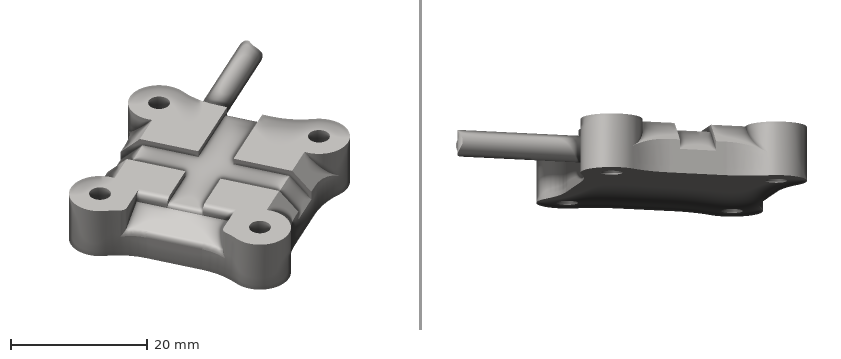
import cadquery as cq
import math

height = 8.0
bolt_offset = 12.5
boss_radius = 4.55
bolt_hole_diameter = 3.2
flat_offset = 14.9
waist_radius = 12.0

bevel_size = 3.0
bevel_angle = math.radians(45)

channel_width = 5.5
channel_depth = 1.0
channel_end_radius = 1.0
channel_step_radius = 0.9

pocket_half_width = 7.55
pocket_wall_y = -10.4
pocket_wall_bottom = 6.4
pocket_slope = math.radians(25)
pocket_edge_radius = 1.0

cable_diameter = 3.9
cable_x = -6.15
cable_z = 4.5
cable_tip_y = 34.4
cable_root_y = 10.0
cut_wave_height = 0.5

clearance = 5.0
selection_margin = 0.1


def rotate_point(point, quarter_turns):
    """Turn a point about the origin by a number of quarter turns."""
    x, y = point
    for _ in range(quarter_turns):
        x, y = -y, x
    return x, y


def make_plate():
    """Square plate with round corner bosses and waisted sides."""
    waist_y = -(flat_offset + waist_radius)
    centre_distance = waist_radius + boss_radius
    flat_half = bolt_offset - math.sqrt(centre_distance**2 - (waist_y + bolt_offset)**2)

    share = boss_radius / centre_distance
    tangent_x = bolt_offset + share * (flat_half - bolt_offset)
    tangent_y = -bolt_offset + share * (waist_y + bolt_offset)

    sweep = math.atan2(tangent_x - flat_half, tangent_y - waist_y)
    waist_mid_x = flat_half + waist_radius * math.sin(sweep / 2)
    waist_mid_y = waist_y + waist_radius * math.cos(sweep / 2)

    boss_tip = bolt_offset + boss_radius * math.sqrt(0.5)

    outline = cq.Workplane("XY").moveTo(-flat_half, -flat_offset)
    for turn in range(4):
        outline = (
            outline.lineTo(*rotate_point((flat_half, -flat_offset), turn))
            .threePointArc(
                rotate_point((waist_mid_x, waist_mid_y), turn),
                rotate_point((tangent_x, tangent_y), turn),
            )
            .threePointArc(
                rotate_point((boss_tip, -boss_tip), turn),
                rotate_point((-tangent_y, -tangent_x), turn),
            )
            .threePointArc(
                rotate_point((-waist_mid_y, -waist_mid_x), turn),
                rotate_point((flat_offset, -flat_half), turn),
            )
        )
    return outline.close().extrude(height)


def corner_cylinders(radius):
    """Upright cylinders centred on the four bolt positions."""
    spacing = 2 * bolt_offset
    return cq.Workplane("XY").rarray(spacing, spacing, 2, 2).circle(radius).extrude(height)


def make_bevel_cutter():
    """Wedges along the -X and +X top edges, leaving the corner bosses whole."""
    reach = bevel_size + clearance
    wedge = (
        cq.Workplane("XZ")
        .moveTo(flat_offset - bevel_size, height)
        .lineTo(flat_offset - bevel_size + reach, height)
        .lineTo(flat_offset - bevel_size + reach, height - reach * math.tan(bevel_angle))
        .close()
        .extrude(bolt_offset, both=True)
    )
    wedges = wedge.union(wedge.mirror("YZ"))
    return wedges.cut(corner_cylinders(boss_radius))


def make_side_channel_cutter():
    """Channel along X, following the top and the bevels at an even depth."""
    floor = height - channel_depth
    floor_end = flat_offset - bevel_size - channel_depth * math.tan(bevel_angle / 2)
    reach = floor + clearance
    drop = reach * math.tan(bevel_angle)
    return (
        cq.Workplane("XZ")
        .moveTo(-floor_end, floor)
        .lineTo(floor_end, floor)
        .lineTo(floor_end + reach, floor - drop)
        .lineTo(floor_end + reach, height + clearance)
        .lineTo(-floor_end - reach, height + clearance)
        .lineTo(-floor_end - reach, floor - drop)
        .close()
        .extrude(channel_width / 2, both=True)
    )


def make_lengthwise_channel_cutter():
    """Channel along Y, rounded down at the pocket and at the +Y side."""
    floor = height - channel_depth
    step_mid = channel_step_radius * math.sqrt(0.5)
    end_mid = channel_end_radius * math.sqrt(0.5)
    step_centre_y = pocket_wall_y + channel_step_radius
    step_centre_z = floor - channel_step_radius
    end_centre_y = flat_offset - channel_end_radius
    end_centre_z = floor - channel_end_radius
    return (
        cq.Workplane("YZ")
        .moveTo(pocket_wall_y, step_centre_z)
        .threePointArc(
            (step_centre_y - step_mid, step_centre_z + step_mid),
            (step_centre_y, floor),
        )
        .lineTo(end_centre_y, floor)
        .threePointArc(
            (end_centre_y + end_mid, end_centre_z + end_mid),
            (flat_offset, end_centre_z),
        )
        .lineTo(flat_offset + clearance, end_centre_z)
        .lineTo(flat_offset + clearance, height + clearance)
        .lineTo(pocket_wall_y, height + clearance)
        .close()
        .extrude(channel_width / 2, both=True)
    )


def cut_pocket(body):
    """Sloping pocket in the -Y side with all its convex edges rounded."""
    outer_y = -flat_offset - clearance
    outer_z = pocket_wall_bottom + (outer_y - pocket_wall_y) * math.tan(pocket_slope)
    cutter = (
        cq.Workplane("YZ")
        .moveTo(pocket_wall_y, height + clearance)
        .lineTo(pocket_wall_y, pocket_wall_bottom)
        .lineTo(outer_y, outer_z)
        .lineTo(outer_y, height + clearance)
        .close()
        .extrude(pocket_half_width, both=True)
    )
    pocketed = body.cut(cutter)

    top_edge = cq.selectors.BoxSelector(
        (-pocket_half_width, pocket_wall_y - selection_margin, height - selection_margin),
        (pocket_half_width, pocket_wall_y + selection_margin, height + selection_margin),
    )
    pocketed = pocketed.edges(top_edge).fillet(pocket_edge_radius)

    mouth_edges = cq.selectors.BoxSelector(
        (-pocket_half_width - selection_margin, outer_y, outer_z),
        (pocket_half_width + selection_margin, -flat_offset + selection_margin, height - selection_margin),
    )
    return pocketed.edges(mouth_edges).fillet(pocket_edge_radius)


def make_cable():
    """Round cable with an S-shaped cut across its free end."""
    radius = cable_diameter / 2
    cut_y = cable_tip_y - cut_wave_height
    cable_plan = (
        cq.Workplane("XY")
        .moveTo(cable_x - radius, cable_root_y)
        .lineTo(cable_x - radius, cut_y)
        .threePointArc((cable_x - radius / 2, cable_tip_y), (cable_x, cut_y))
        .threePointArc((cable_x + radius / 2, cut_y - cut_wave_height), (cable_x + radius, cut_y))
        .lineTo(cable_x + radius, cable_root_y)
        .close()
        .extrude(height)
    )
    round_bar = (
        cq.Workplane("XZ", origin=(cable_x, cable_root_y, cable_z))
        .circle(radius)
        .extrude(cable_root_y - cable_tip_y)
    )
    return round_bar.intersect(cable_plan)


body = cut_pocket(make_plate())
body = body.cut(make_bevel_cutter())
body = body.cut(make_side_channel_cutter())
body = body.cut(make_lengthwise_channel_cutter())
body = body.union(make_cable())
result = body.cut(corner_cylinders(bolt_hole_diameter / 2))